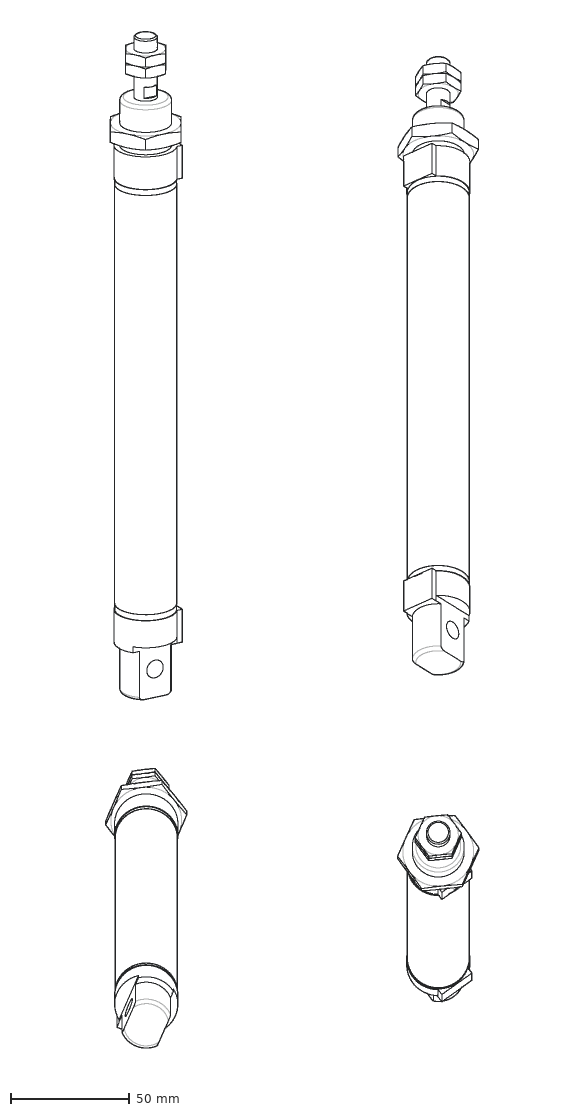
import cadquery as cq
import math


overall_height = 299.0
neck_top = overall_height - 28.0
shoulder = neck_top - 22.0
cap_length = 15.0
band_height = 2.7
front_cap_bottom = shoulder - cap_length
front_band_bottom = front_cap_bottom - band_height
pin_height = 13.0
rear_cap_bottom = 22.5
rear_cap_top = rear_cap_bottom + cap_length
rear_band_top = rear_cap_top + band_height
tang_flat_top = 25.2

cap_diameter = 26.8
band_diameter = 26.2
tube_diameter = 26.4
neck_diameter = 22.0
edge_radius = 1.5
tang_width = 16.0
pin_diameter = 8.0
pad_width = 15.8
pad_face = cap_diameter / 2

rod_diameter = 10.0
rod_end_diameter = 8.65
rod_end_chamfer = (rod_diameter - rod_end_diameter) / 2
rod_socket_depth = 10.0
rod_bottom = neck_top - rod_socket_depth
wrench_size = 8.0
wrench_flat_length = 5.0
wrench_flat_bottom = overall_height - 26.7

rod_nut_width = 17.0
rod_nut_thickness = 5.0
rod_nut_count = 2
lowest_rod_nut_bottom = overall_height - 16.0
mounting_nut_width = 30.0
mounting_nut_thickness = 6.3
mounting_nut_bottom = overall_height - 46.1
nut_chamfer_angle = math.radians(18)


def disc(diameter, bottom, top):
    """A round bar on the Z axis."""
    return cq.Workplane("XY").workplane(offset=bottom).circle(diameter / 2).extrude(top - bottom)


def cap(bottom, top):
    """A round end cap whose +Y side is squared out to a flat pad."""
    pad = (
        cq.Workplane("XY")
        .workplane(offset=bottom)
        .center(0, pad_face / 2)
        .rect(pad_width, pad_face)
        .extrude(top - bottom)
    )
    return disc(cap_diameter, bottom, top).union(pad)


def cut_side_flats(body, width, bottom, top):
    """Trim a body to the given width along X between two heights."""
    block = cq.Workplane("XY").box(cap_diameter, cap_diameter, top - bottom, centered=(True, True, False))
    for side in (-1, 1):
        offset = side * (width + cap_diameter) / 2
        body = body.cut(block.translate((offset, 0, bottom)))
    return body


def make_body():
    """Tube with both end caps, the front neck, the flattened rear tang, the pin hole and the rod socket."""
    neck = disc(neck_diameter, shoulder, neck_top).faces(">Z").edges().fillet(edge_radius)
    tang = disc(neck_diameter, 0, rear_cap_bottom).faces("<Z").edges().fillet(edge_radius)
    body = (
        disc(tube_diameter, rear_band_top, front_band_bottom)
        .union(disc(band_diameter, rear_cap_top, rear_band_top))
        .union(disc(band_diameter, front_band_bottom, front_cap_bottom))
        .union(cap(rear_cap_bottom, rear_cap_top))
        .union(cap(front_cap_bottom, shoulder))
        .union(neck)
        .union(tang)
    )
    body = cut_side_flats(body, tang_width, 0, tang_flat_top)
    pin_circle = cq.Workplane("YZ").center(0, pin_height).circle(pin_diameter / 2)
    pin_hole = pin_circle.extrude(tang_width, both=True)
    rod_socket = disc(rod_diameter, rod_bottom, neck_top)
    return body.cut(pin_hole).cut(rod_socket)


def make_piston_rod():
    """Rod with a chamfered tip and two wrench flats facing -X and +X."""
    rod = disc(rod_diameter, rod_bottom, overall_height).faces(">Z").edges().chamfer(rod_end_chamfer)
    return cut_side_flats(rod, wrench_size, wrench_flat_bottom, wrench_flat_bottom + wrench_flat_length)


def make_nut(width, thickness, bore, bottom):
    """Hexagon nut with flats facing -X and +X and its corners chamfered at both ends."""
    half_hexagon_step = 360 / 6 / 2
    corner_radius = width / math.sqrt(3)
    face_radius = width / 2
    chamfer_height = (corner_radius - face_radius) * math.tan(nut_chamfer_angle)
    hexagon = (
        cq.Workplane("XY")
        .polygon(6, 2 * corner_radius)
        .extrude(thickness)
        .rotate((0, 0, 0), (0, 0, 1), half_hexagon_step)
    )
    corner_envelope = (
        cq.Workplane("XZ")
        .moveTo(0, 0)
        .lineTo(face_radius, 0)
        .lineTo(corner_radius, chamfer_height)
        .lineTo(corner_radius, thickness - chamfer_height)
        .lineTo(face_radius, thickness)
        .lineTo(0, thickness)
        .close()
        .revolve(360, (0, 0, 0), (0, 1, 0))
    )
    nut = hexagon.intersect(corner_envelope).cut(disc(bore, 0, thickness))
    return nut.translate((0, 0, bottom))


cylinder_body = make_body()
piston_rod = make_piston_rod()
mounting_nut = make_nut(mounting_nut_width, mounting_nut_thickness, neck_diameter, mounting_nut_bottom)

rod_nuts = []
for index in range(rod_nut_count):
    nut_bottom = lowest_rod_nut_bottom + index * rod_nut_thickness
    rod_nuts.append(make_nut(rod_nut_width, rod_nut_thickness, rod_diameter, nut_bottom))

result = cq.Compound.makeCompound(
    [
        cylinder_body.val(),
        piston_rod.val(),
        *[nut.val() for nut in rod_nuts],
        mounting_nut.val(),
    ]
)